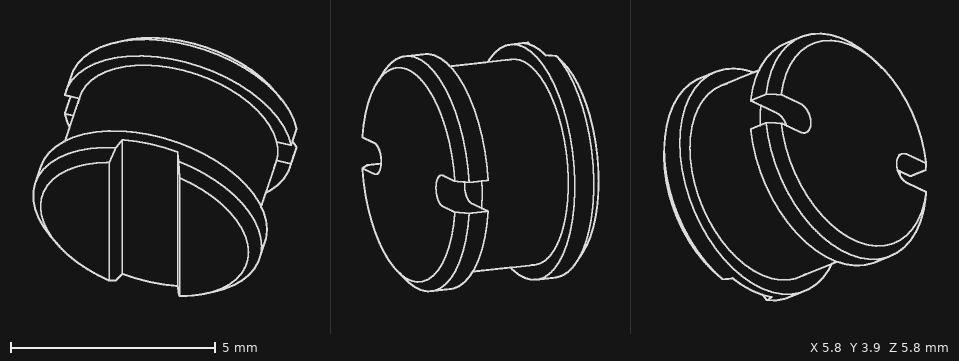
import cadquery as cq

flange_diameter = 5.8
core_diameter = 5.07
length = 3.9
flange_thickness = 0.78
rim_chamfer = 0.26

slot_depth = 0.51
slot_floor_width = 1.405
slot_mouth_width = 1.785

notch_width = 0.78
notch_depth = 1.36

front_y = -length / 2
back_y = length / 2
flange_radius = flange_diameter / 2


def make_spool():
    """Revolve the half profile of the core and its two chamfered flanges."""
    core_radius = core_diameter / 2
    face_radius = flange_radius - rim_chamfer
    front_flange_y = front_y + flange_thickness
    back_flange_y = back_y - flange_thickness
    profile = [
        (0, front_y),
        (face_radius, front_y),
        (flange_radius, front_y + rim_chamfer),
        (flange_radius, front_flange_y),
        (core_radius, front_flange_y),
        (core_radius, back_flange_y),
        (flange_radius, back_flange_y),
        (flange_radius, back_y - rim_chamfer),
        (face_radius, back_y),
        (0, back_y),
    ]
    return cq.Workplane("XY").polyline(profile).close().revolve(360, (0, 0), (0, 1))


def make_slot():
    """Trapezoidal cutter, wider at the front face than at its floor."""
    floor_y = front_y + slot_depth
    section = [
        (-slot_mouth_width / 2, front_y),
        (slot_mouth_width / 2, front_y),
        (slot_floor_width / 2, floor_y),
        (-slot_floor_width / 2, floor_y),
    ]
    return cq.Workplane("XY").polyline(section).close().extrude(flange_radius, both=True)


def make_notch(side):
    """Cutter open at the rim on the given X side, with a half-round inner end."""
    half_width = notch_width / 2
    rim_x = side * flange_radius
    arc_tip_x = side * (flange_radius - notch_depth)
    arc_start_x = arc_tip_x + side * half_width
    return (
        cq.Workplane("XZ", origin=(0, back_y, 0))
        .moveTo(rim_x, -half_width)
        .lineTo(arc_start_x, -half_width)
        .threePointArc((arc_tip_x, 0), (arc_start_x, half_width))
        .lineTo(rim_x, half_width)
        .close()
        .extrude(flange_thickness)
    )


result = make_spool().cut(make_slot())
for side in (-1, 1):
    result = result.cut(make_notch(side))